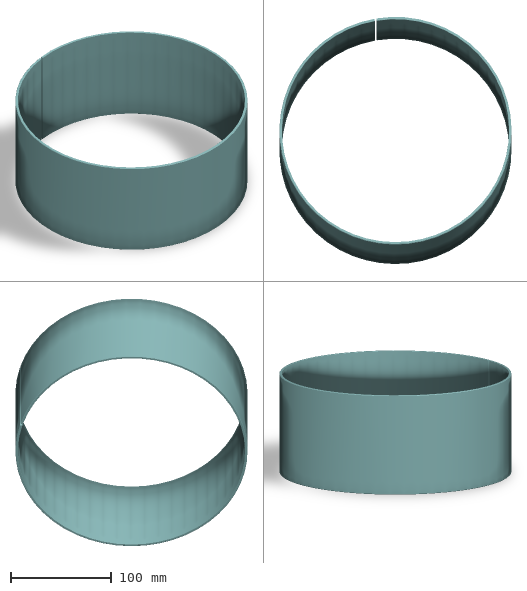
import cadquery as cq

outer_diameter = 230.0
wall_thickness = 2.5
height = 100.0
outer_rim_chamfer = 0.5
inner_rim_chamfer = 0.2
slit_angle = 1.0

wall_middle_radius = (outer_diameter - wall_thickness) / 2


def wall_section():
    """Cross-section of the wall in the XZ plane on the -X side, standing on Z = 0."""
    section = cq.Sketch().push([(-wall_middle_radius, height / 2)])
    section = section.rect(wall_thickness, height).reset()
    section = section.vertices("<X").chamfer(outer_rim_chamfer).reset()
    return section.vertices(">X").chamfer(inner_rim_chamfer).reset()


def split_ring():
    """Sweep the wall section about Z, stopping short of a full turn by the slit angle."""
    axis_start = (0, 0, 0)
    axis_end = (0, 1, 0)
    return (
        cq.Workplane("XZ")
        .placeSketch(wall_section())
        .revolve(360 - slit_angle, axis_start, axis_end)
    )


result = split_ring()